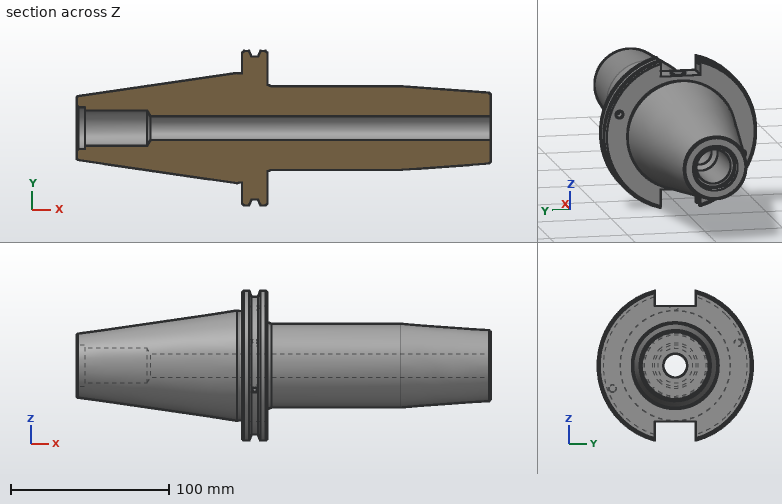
import cadquery as cq
import math

total_length = 261.5
taper_length = 101.2
neck_start = 102.5
flange_start = 104.5
flange_end = 120.5
collar_end = 123.0
nose_taper_start = 204.5

taper_slope = 7 / 24
gauge_diameter = 69.8
taper_small_diameter = gauge_diameter - taper_length * taper_slope
neck_diameter = 69.3
flange_diameter = 98.0
collar_diameter = 55.0
body_diameter = 53.0
nose_diameter = 45.0
shank_chamfer = 0.8
flange_chamfer = 1.3
nose_chamfer = 1.3

groove_center = 112.5
groove_floor_width = 4.0
groove_mouth_width = 7.0
groove_diameter = 90.8

thread_diameter = 22.0
counterbore_diameter = 26.2
counterbore_mouth_diameter = 28.8
counterbore_depth = 5.2
thread_depth = 44.5
through_diameter = 15.0
drill_point_half_angle = 59.0

slot_width = 25.6
upper_slot_floor = 37.7
lower_slot_floor = 35.3

slot_countersink_diameter = 9.5
slot_countersink_center = 113.3

coolant_angle = 20.0
coolant_radius = 42.0
coolant_diameter = 4.2
coolant_mouth_diameter = 5.0
coolant_mouth_chamfer = (coolant_mouth_diameter - coolant_diameter) / 2
coolant_outlet_diameter = 3.1


def drill_point_length(large_diameter, small_diameter=0.0):
    """Length of the cone a drill leaves between two diameters."""
    return (large_diameter - small_diameter) / 2 / math.tan(math.radians(drill_point_half_angle))


def revolve_about_x(stations):
    """Solid of revolution through (x, diameter) stations, closed along the X axis."""
    points = [(x, diameter / 2) for x, diameter in stations]
    outline = [(points[0][0], 0), *points, (points[-1][0], 0)]
    return cq.Workplane("XY").polyline(outline).close().revolve(360, (0, 0, 0), (1, 0, 0))


def make_holder():
    return revolve_about_x([
        (0, taper_small_diameter - 2 * shank_chamfer),
        (shank_chamfer, taper_small_diameter + shank_chamfer * taper_slope),
        (taper_length, gauge_diameter),
        (neck_start, neck_diameter),
        (flange_start, neck_diameter),
        (flange_start, flange_diameter - 2 * flange_chamfer),
        (flange_start + flange_chamfer, flange_diameter),
        (groove_center - groove_mouth_width / 2, flange_diameter),
        (groove_center - groove_floor_width / 2, groove_diameter),
        (groove_center + groove_floor_width / 2, groove_diameter),
        (groove_center + groove_mouth_width / 2, flange_diameter),
        (flange_end - flange_chamfer, flange_diameter),
        (flange_end, flange_diameter - 2 * flange_chamfer),
        (flange_end, collar_diameter),
        (collar_end, body_diameter),
        (nose_taper_start, body_diameter),
        (total_length - nose_chamfer, nose_diameter),
        (total_length, nose_diameter - 2 * nose_chamfer),
    ])


def make_bore():
    mouth_chamfer = (counterbore_mouth_diameter - counterbore_diameter) / 2
    return revolve_about_x([
        (0, counterbore_mouth_diameter),
        (mouth_chamfer, counterbore_diameter),
        (counterbore_depth, counterbore_diameter),
        (counterbore_depth, thread_diameter),
        (thread_depth, thread_diameter),
        (thread_depth + drill_point_length(thread_diameter, through_diameter), through_diameter),
        (total_length, through_diameter),
    ])


def make_slot(floor_height):
    """Drive slot across the flange, open toward +Z."""
    slot_height = flange_diameter / 2 - floor_height
    return (
        cq.Workplane("XY")
        .box(flange_end - flange_start, slot_width, slot_height, centered=(False, True, False))
        .translate((flange_start, 0, floor_height))
    )


def make_slot_countersink():
    rim_radius = slot_countersink_diameter / 2
    tip = upper_slot_floor - drill_point_length(slot_countersink_diameter)
    return (
        cq.Workplane("XZ")
        .polyline([(0, upper_slot_floor), (rim_radius, upper_slot_floor), (0, tip)])
        .close()
        .revolve(360, (0, 0, 0), (0, 1, 0))
        .translate((slot_countersink_center, 0, 0))
    )


def make_coolant_hole():
    """Chamfered axial hole from the flange's taper side, and its radial outlet in the groove."""
    axial = revolve_about_x([
        (flange_start, coolant_mouth_diameter),
        (flange_start + coolant_mouth_chamfer, coolant_diameter),
        (groove_center + coolant_outlet_diameter / 2, coolant_diameter),
    ]).translate((0, coolant_radius, 0))
    outlet = (
        cq.Workplane("XZ", origin=(groove_center, coolant_radius, 0))
        .circle(coolant_outlet_diameter / 2)
        .extrude(-(flange_diameter / 2 - coolant_radius))
    )
    return axial.union(outlet)


result = make_holder().cut(make_bore())
result = result.cut(make_slot(upper_slot_floor))
result = result.cut(make_slot(lower_slot_floor).rotate((0, 0, 0), (1, 0, 0), 180))
result = result.cut(make_slot_countersink())
for half_turn in (0, 180):
    result = result.cut(make_coolant_hole().rotate((0, 0, 0), (1, 0, 0), coolant_angle + half_turn))